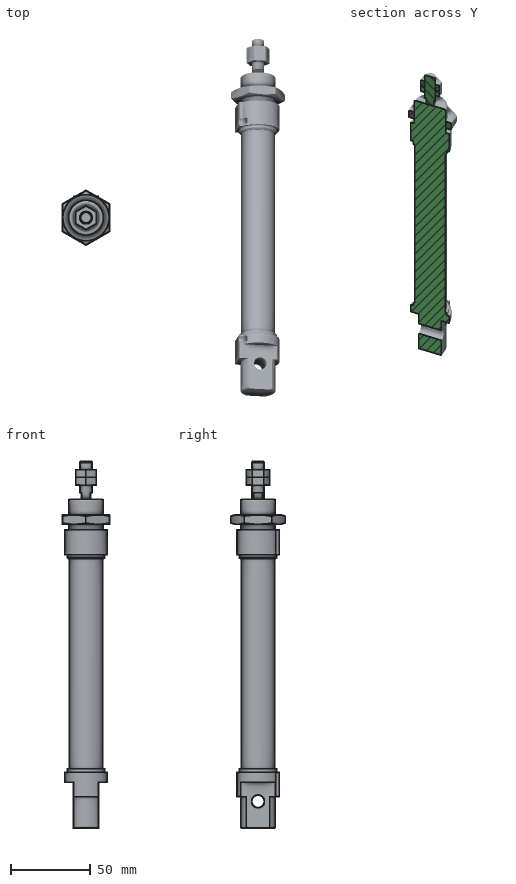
import cadquery as cq
import math

total_length = 232.0

rod_diameter = 8.0
rod_length = 24.0
rod_tip_diameter = 6.7
rod_tip_chamfer_height = 1.0
rod_flat_distance = 5.8
rod_flat_height = 4.0
rod_bottom = total_length - rod_length

rod_nut_width = 13.0
rod_nut_height = 4.9
rod_nut_count = 2
rod_nut_stack_bottom = 217.0

mount_nut_width = 30.0
mount_nut_height = 6.0
mount_nut_bottom = 192.0
mount_nut_face_diameter = 29.2
mount_nut_chamfer_height = 1.0

tube_diameter = 21.3
thread_diameter = 22.0
thread_rounding = 1.5
cap_diameter = 27.0
collar_diameter = 24.0
front_cap_top = 188.5
front_cap_bottom = 172.8
front_collar_bottom = 170.3
front_collar_chamfer = 1.0
rear_collar_top = 37.5
rear_cap_top = 35.3
rear_cap_bottom = 20.0

block_width = 15.3
screw_hole_diameter = 4.2
screw_hole_depth = 4.9
screw_hole_inset = 3.0
screw_hole_x = -8.8

tongue_thickness = 16.0
tongue_top = 29.0
tongue_diameter = thread_diameter
tongue_rounding = 1.5
pivot_hole_diameter = rod_diameter
pivot_hole_height = 17.0


def cylinder(diameter, bottom, top):
    """Round bar on the Z axis between two heights."""
    return cq.Workplane("XY").workplane(offset=bottom).circle(diameter / 2).extrude(top - bottom)


def hexagon_nut(width, bottom, height, bore_diameter):
    """Hexagonal nut with flats facing +X and -X and a bore that fits its thread."""
    corner_diameter = width / math.cos(math.pi / 6)
    prism = (
        cq.Workplane("XY")
        .workplane(offset=bottom)
        .polygon(6, corner_diameter)
        .extrude(height)
        .rotate((0, 0, 0), (0, 0, 1), 30)
    )
    return prism.cut(cylinder(bore_diameter, bottom, bottom + height))


def revolved(profile):
    """Solid of revolution about Z from (radius, height) points."""
    return cq.Workplane("XZ").polyline(profile).close().revolve(360, (0, 0, 0), (0, 1, 0))


def flat_cutter(thickness, bottom, top):
    """Material to remove so that two flats, facing +X and -X, leave the given thickness."""
    reach = 2 * cap_diameter
    kept_slab = cq.Workplane("XY").workplane(offset=bottom).rect(thickness, reach).extrude(top - bottom)
    return cylinder(reach, bottom, top).cut(kept_slab)


def make_rod():
    """Piston rod standing on the front face, with wrench flats at its foot and a chamfered tip."""
    radius = rod_diameter / 2
    rod = revolved(
        [
            (0, rod_bottom),
            (radius, rod_bottom),
            (radius, total_length - rod_tip_chamfer_height),
            (rod_tip_diameter / 2, total_length),
            (0, total_length),
        ]
    )
    return rod.cut(flat_cutter(rod_flat_distance, rod_bottom, rod_bottom + rod_flat_height))


def make_mount_nut():
    """Mounting nut with its corners turned down to a cone on both faces."""
    nut = hexagon_nut(mount_nut_width, mount_nut_bottom, mount_nut_height, thread_diameter)
    top = mount_nut_bottom + mount_nut_height
    corner_radius = mount_nut_width / 2 / math.cos(math.pi / 6)
    face_radius = mount_nut_face_diameter / 2
    envelope = revolved(
        [
            (0, mount_nut_bottom),
            (face_radius, mount_nut_bottom),
            (corner_radius, mount_nut_bottom + mount_nut_chamfer_height),
            (corner_radius, top - mount_nut_chamfer_height),
            (face_radius, top),
            (0, top),
        ]
    )
    return nut.intersect(envelope)


def cap(bottom, top, screw_hole_height):
    """Round cap with a square-sided port block and its screw hole."""
    radius = cap_diameter / 2
    block = (
        cq.Workplane("XY")
        .workplane(offset=bottom)
        .center(0, radius / 2)
        .rect(block_width, radius)
        .extrude(top - bottom)
    )
    screw_hole = (
        cq.Workplane("XZ", origin=(screw_hole_x, radius, screw_hole_height))
        .circle(screw_hole_diameter / 2)
        .extrude(screw_hole_depth)
    )
    return cylinder(cap_diameter, bottom, top).union(block).cut(screw_hole)


def make_housing():
    """Tube, front thread, both caps with their collars and the clevis tongue, as one solid."""
    tube = cylinder(tube_diameter, rear_cap_bottom, front_cap_top)
    tongue_bar = cylinder(tongue_diameter, 0, rear_cap_bottom).faces("<Z").edges().fillet(tongue_rounding)
    thread = cylinder(thread_diameter, front_cap_top, rod_bottom).faces(">Z").edges().fillet(thread_rounding)
    front_collar = cylinder(collar_diameter, front_collar_bottom, front_cap_bottom).faces("<Z").chamfer(
        front_collar_chamfer
    )
    rear_collar = cylinder(collar_diameter, rear_cap_top, rear_collar_top)
    front_cap = cap(front_cap_bottom, front_cap_top, front_cap_bottom + screw_hole_inset)
    rear_cap = cap(rear_cap_bottom, rear_cap_top, rear_cap_top - screw_hole_inset)

    housing = tube
    for section in (thread, front_cap, front_collar, rear_collar, rear_cap, tongue_bar):
        housing = housing.union(section)

    pivot_hole = (
        cq.Workplane("YZ")
        .center(0, pivot_hole_height)
        .circle(pivot_hole_diameter / 2)
        .extrude(tongue_thickness, both=True)
    )
    return housing.cut(flat_cutter(tongue_thickness, 0, tongue_top)).cut(pivot_hole)


housing = make_housing()
rod = make_rod()
mount_nut = make_mount_nut()
rod_nuts = [
    hexagon_nut(rod_nut_width, rod_nut_stack_bottom + index * rod_nut_height, rod_nut_height, rod_diameter)
    for index in range(rod_nut_count)
]

result = cq.Compound.makeCompound(
    [housing.val(), rod.val(), mount_nut.val(), *[nut.val() for nut in rod_nuts]]
)